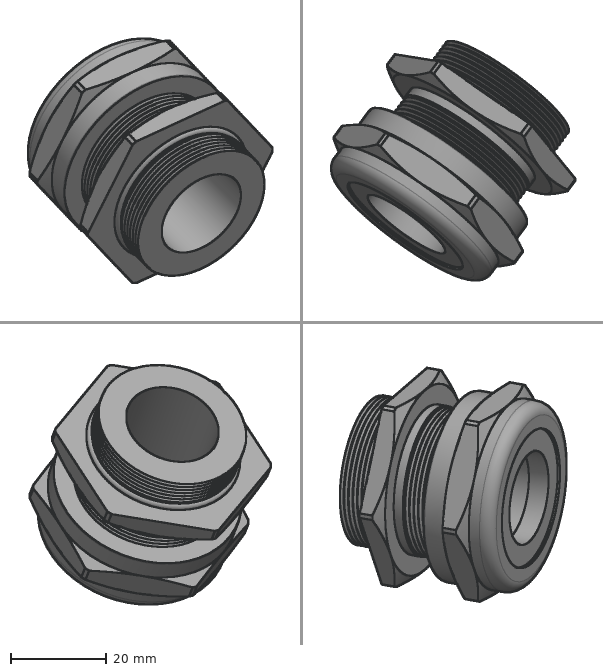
import cadquery as cq
import math


across_flats = 40.9
corner_radius = 23.3
flat_radius = across_flats / 2
bore_radius = 10.0

seal_radius = 14.85
seal_front = 0.45
seal_back = 5.0
seal_edge_fillet = 0.25

cap_length = 15.6
dome_fillet = 2.65
cap_back_chamfer_length = 0.33
cap_back_chamfer_height = 0.1

cap_hex_front = 5.15
cap_hex_back = 10.9
body_hex_front = 24.4
body_hex_back = 28.95
front_chamfer_angle = 30.0
back_chamfer_angle = 20.0
flats_turn = 30.0

thread_pitch = 1.03
crest_radius = 16.0
root_radius = 15.2
cap_thread_pitches = 6.5
end_thread_pitches = 7.0
gland_length = 36.85

collar_radius = 16.1
collar_start = cap_length + cap_thread_pitches * thread_pitch
flange_radius = 16.7
flange_end = 29.85
flange_length = flange_end - body_hex_back


def disc(start, end, radius):
    """Solid cylinder along X from start to end."""
    return cq.Workplane("YZ", origin=(start, 0, 0)).circle(radius).extrude(end - start)


def revolve_about_x(profile_points):
    """Solid of revolution from (x, radius) points that start and end on the X axis."""
    return cq.Workplane("XY").polyline(profile_points).close().revolve(360, (0, 0, 0), (1, 0, 0))


def cone_length(angle):
    """Length along X of a corner chamfer running from the flats' radius out to the corners."""
    return (corner_radius - flat_radius) * math.tan(math.radians(angle))


def hexagon(start, end, back_chamfered):
    """Hexagon with flats facing +Z and -Z and turned corners, coned in front and optionally behind."""
    prism = (
        cq.Workplane("YZ", origin=(start, 0, 0))
        .polygon(6, across_flats, circumscribed=True)
        .extrude(end - start)
        .rotate((0, 0, 0), (1, 0, 0), flats_turn)
    )
    envelope = [
        (start, 0),
        (start, flat_radius),
        (start + cone_length(front_chamfer_angle), corner_radius),
    ]
    if back_chamfered:
        envelope.append((end - cone_length(back_chamfer_angle), corner_radius))
        envelope.append((end, flat_radius))
    else:
        envelope.append((end, corner_radius))
    envelope.append((end, 0))
    return prism.intersect(revolve_about_x(envelope))


def thread(start, pitches):
    """Ridged rod whose profile zigzags from a crest at start, one vertex every half pitch."""
    half_pitch = thread_pitch / 2
    steps = round(2 * pitches)
    profile = [(start, 0)]
    for step in range(steps + 1):
        radius = crest_radius if step % 2 == 0 else root_radius
        profile.append((start + step * half_pitch, radius))
    profile.append((start + steps * half_pitch, 0))
    return revolve_about_x(profile)


def make_cap():
    """Domed cap with its hexagon."""
    cap = revolve_about_x([
        (0, 0),
        (0, flat_radius),
        (cap_length - cap_back_chamfer_length, flat_radius),
        (cap_length, flat_radius - cap_back_chamfer_height),
        (cap_length, 0),
    ])
    cap = cap.faces("<X").edges().fillet(dome_fillet)
    return cap.union(hexagon(cap_hex_front, cap_hex_back, back_chamfered=True))


def make_flange():
    """Flange behind the body hexagon, its rim a quarter round over its whole length."""
    return (
        cq.Workplane("XY")
        .moveTo(body_hex_back, 0)
        .lineTo(body_hex_back, flange_radius)
        .radiusArc((flange_end, flange_radius - flange_length), flange_length)
        .lineTo(flange_end, 0)
        .close()
        .revolve(360, (0, 0, 0), (1, 0, 0))
    )


def make_body():
    """Threaded body with collar, hexagon and flange."""
    cap_thread = thread(cap_length, cap_thread_pitches)
    collar = disc(collar_start, body_hex_front, collar_radius)
    body_hex = hexagon(body_hex_front, body_hex_back, back_chamfered=False)
    end_thread = thread(gland_length - end_thread_pitches * thread_pitch, end_thread_pitches)
    return cap_thread.union(collar).union(body_hex).union(make_flange()).union(end_thread)


def make_gland():
    """Cap and body in one piece, bored through, with a recess for the seal."""
    bore = disc(0, gland_length, bore_radius)
    seal_recess = disc(0, seal_back, seal_radius)
    return make_cap().union(make_body()).cut(bore).cut(seal_recess)


def make_seal():
    """Flat ring filling the recess, its front outer edge rounded."""
    ring = disc(seal_front, seal_back, seal_radius).faces("<X").edges().fillet(seal_edge_fillet)
    return ring.cut(disc(seal_front, seal_back, bore_radius))


gland = make_gland()
seal = make_seal()
result = cq.Compound.makeCompound([gland.val(), seal.val()])